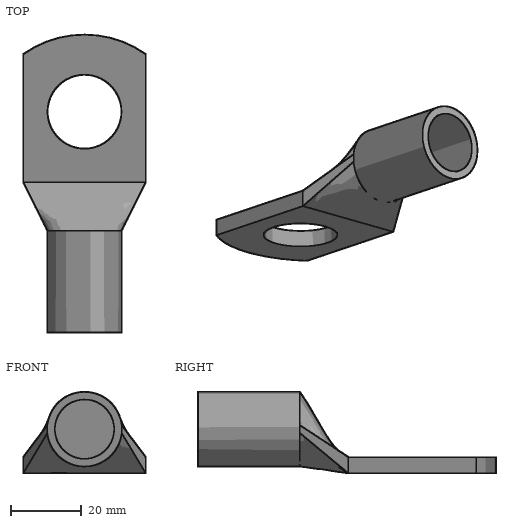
import cadquery as cq
import math

length = 85.0
palm_width = 35.0
palm_thickness = 4.7
height = 23.3

barrel_diameter = 21.3
bore_diameter = 16.9
barrel_length = 29.1
barrel_axis_z = height - barrel_diameter / 2

transition_length = 13.85
palm_start = barrel_length + transition_length
strip_half_angle = 6.0
saddle_depth = 2.5
curve_steps = 12
section_steps = 6
tip_rise = 5.6
hole_diameter = 21.0
hole_y = 63.0


def make_barrel():
    """Solid cylinder along Y, starting at the wire entry."""
    return (
        cq.Workplane("XZ", origin=(0, 0, barrel_axis_z))
        .circle(barrel_diameter / 2)
        .extrude(-barrel_length)
    )


def transition_point(angle, across, palm_z, progress, sag):
    """Blend a barrel point at an angle with a palm point at a fraction across its width."""
    barrel_x = barrel_diameter / 2 * math.cos(angle)
    barrel_z = barrel_axis_z + barrel_diameter / 2 * math.sin(angle)
    palm_x = palm_width * (across - 0.5)
    x = barrel_x + (palm_x - barrel_x) * progress
    z = barrel_z + (palm_z - barrel_z) * progress
    return cq.Vector(x, barrel_length + transition_length * progress, z - sag * math.sin(math.pi * across))


def transition_section(progress):
    """Closed section; progress runs from 0 at the barrel to 1 at the palm."""
    sag = saddle_depth * 27 / 4 * progress**2 * (1 - progress)
    start_angle = math.radians(180 - strip_half_angle)
    sweep = math.radians(180 - 2 * strip_half_angle)
    upper = []
    lower = []
    for step in range(curve_steps + 1):
        across = step / curve_steps
        angle = start_angle - sweep * across
        upper.append(transition_point(angle, across, palm_thickness, progress, sag))
        lower.append(transition_point(-angle, across, 0, progress, 0))
    lower.reverse()
    return cq.Wire.assembleEdges([
        cq.Edge.makeSpline(upper),
        cq.Edge.makeLine(upper[-1], lower[0]),
        cq.Edge.makeSpline(lower),
        cq.Edge.makeLine(lower[-1], upper[0]),
    ])


def make_transition():
    """Smooth loft from the round barrel to the flat palm, dished along its top."""
    sections = [transition_section(step / section_steps) for step in range(section_steps + 1)]
    return cq.Workplane(obj=cq.Solid.makeLoft(sections))


def make_palm():
    """Flat plate with an arched tip and a bolt hole."""
    half_width = palm_width / 2
    shoulder_y = length - tip_rise
    plate = (
        cq.Workplane("XY")
        .moveTo(-half_width, palm_start)
        .lineTo(half_width, palm_start)
        .lineTo(half_width, shoulder_y)
        .threePointArc((0, length), (-half_width, shoulder_y))
        .close()
        .extrude(palm_thickness)
    )
    hole = cq.Workplane("XY").center(0, hole_y).circle(hole_diameter / 2).extrude(palm_thickness)
    return plate.cut(hole)


def make_bore():
    """Blind wire bore ending where the barrel meets the transition."""
    return (
        cq.Workplane("XZ", origin=(0, 0, barrel_axis_z))
        .circle(bore_diameter / 2)
        .extrude(-barrel_length)
    )


result = make_barrel().union(make_transition()).union(make_palm()).cut(make_bore())